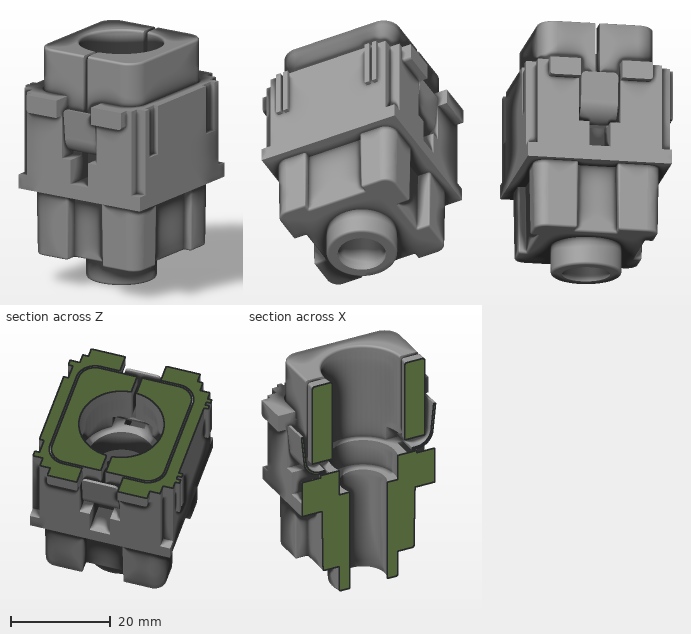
import cadquery as cq
import math

total_height = 49.0
collar_top = 40.05
collar_bottom = 19.5
body_bottom = 5.7
corner_ledge = 22.45
rib_bottom = 29.95
tab_bottom = 36.4
notch_floor = 27.5
window_bottom = 28.05
window_top = 31.05
edge_round = 0.5

collar_x = 29.4
collar_y = 30.1
corner_notch = 2.05
rib_width = 1.0
rib_depth = 0.9
pocket_depth = 1.0
rib_offsets = (9.2, 10.85)
pocket_inner_y = 8.55
pocket_outer_y = 11.6
tab_depth = 1.95
front_tab_reach = 11.45
back_tab_reach = 10.5
tab_round = 0.6

arrow_x = 7.35
arrow_base_y = 14.6
arrow_width = 1.65
arrow_length = 1.95
arrow_depth = 0.2

plug_x = 23.6
plug_y = 25.5
plug_corner = 3.55
moat_width = 0.35
moat_depth = 1.95
slit_width = 1.0

bore_radius = 8.55
seat_radius = 7.0
hole_radius = 4.85
seat_height = 22.45

clip_width = 7.5
clip_top = 37.9
clip_thickness = 0.55
clip_bend_y = 10.95
clip_bend_z = 32.1
clip_bend_radius = 3.7
clip_lean = 0.6
clip_foot_y = 9.8
clip_corner = 0.9
notch_width = 8.5
keyway_width = 4.25
keyway_back_y = 8.8

body_x = 25.65
body_y = 26.55
body_corner = 2.7
body_draft = 1.0
front_recess_width = 8.05
front_recess_depth = 2.7
side_recess_width = 12.15
side_recess_depth = 1.6
stub_radius = 7.1
body_round = 0.45


def block(x_min, x_max, y_min, y_max, z_min, z_max):
    """Box given by its limits along each axis."""
    size = (x_max - x_min, y_max - y_min, z_max - z_min)
    return cq.Workplane("XY").box(*size, centered=False).translate((x_min, y_min, z_min))


def centred_block(width, depth, z_min, z_max):
    """Box centred on the Z axis."""
    return block(-width / 2, width / 2, -depth / 2, depth / 2, z_min, z_max)


def rounded_block(width, depth, corner, z_min, z_max):
    """Centred box with rounded vertical edges."""
    return centred_block(width, depth, z_min, z_max).edges("|Z").fillet(corner)


def cylinder(radius, z_min, z_max):
    return cq.Workplane("XY").workplane(offset=z_min).circle(radius).extrude(z_max - z_min)


def make_collar():
    """Rectangular collar with notched corners, side ribs and side pockets."""
    half_x = collar_x / 2
    half_y = collar_y / 2
    collar = centred_block(collar_x, collar_y, collar_bottom, collar_top)
    notches = (
        cq.Workplane("XY").workplane(offset=corner_ledge)
        .rect(collar_x - corner_notch, collar_y - corner_notch, forConstruction=True).vertices()
        .rect(corner_notch, corner_notch).extrude(collar_top - corner_ledge)
    )
    collar = collar.cut(notches)
    for side in (-1, 1):
        for offset in rib_offsets:
            y = side * offset
            collar = collar.union(block(
                -half_x - rib_depth, -half_x, y - rib_width / 2, y + rib_width / 2, rib_bottom, collar_top))
        y_min, y_max = sorted((side * pocket_inner_y, side * pocket_outer_y))
        collar = collar.cut(block(half_x - pocket_depth, half_x, y_min, y_max, rib_bottom, collar_top))
    for side, reach in ((-1, front_tab_reach), (1, back_tab_reach)):
        y_min, y_max = sorted((side * half_y, side * (half_y + tab_depth)))
        tabs = block(-reach, reach, y_min, y_max, tab_bottom, collar_top)
        tabs = tabs.edges("|Y and <Z").fillet(tab_round)
        collar = collar.union(tabs)
    return collar


def make_moat():
    """Narrow ring-shaped gap between the plug and the collar."""
    moat_x = plug_x + 2 * moat_width
    moat_y = plug_y + 2 * moat_width
    floor = collar_top - moat_depth
    outside = rounded_block(moat_x, moat_y, plug_corner + moat_width, floor, collar_top)
    return outside.cut(rounded_block(plug_x, plug_y, plug_corner, floor, collar_top))


def make_lower_body():
    """Drafted body with a recess in the middle of each side, and the round stub below it."""
    half_x = body_x / 2
    half_y = body_y / 2
    body_height = collar_bottom - body_bottom
    profile = rounded_block(body_x, body_y, body_corner, body_bottom, collar_bottom)
    for side in (-1, 1):
        front_recess = centred_block(front_recess_width, 2 * front_recess_depth, body_bottom, collar_bottom)
        side_recess = centred_block(2 * side_recess_depth, side_recess_width, body_bottom, collar_bottom)
        profile = profile.cut(front_recess.translate((0, side * half_y, 0)))
        profile = profile.cut(side_recess.translate((side * half_x, 0, 0)))
    mouths = [(sx * front_recess_width / 2, sy * half_y) for sx in (-1, 1) for sy in (-1, 1)]
    mouths += [(sx * half_x, sy * side_recess_width / 2) for sx in (-1, 1) for sy in (-1, 1)]
    for x, y in mouths:
        mouth_edge = cq.NearestToPointSelector((x, y, body_bottom + body_height / 2))
        profile = profile.edges(mouth_edge).fillet(edge_round)
    body = profile.faces(">Z").wires().toPending().extrude(-body_height, combine=False, taper=body_draft)
    body = body.faces("<Z").edges().fillet(body_round)
    stub = cylinder(stub_radius, 0, body_bottom).faces("<Z").edges().fillet(edge_round)
    return body.union(stub)


def make_front_openings():
    """Notch in the front of the collar, running back under the plug, with a keyway below it."""
    front = -collar_y / 2 - tab_depth
    half_notch = notch_width / 2
    half_key = keyway_width / 2
    notch = block(-half_notch, half_notch, front, -plug_y / 2, notch_floor, collar_top)
    undercut = block(-half_notch, half_notch, front, -clip_bend_y, notch_floor, window_top)
    keyway = block(-half_key, half_key, front, -keyway_back_y, corner_ledge, window_bottom)
    return notch.union(undercut).union(keyway)


def make_front_clip():
    """Bent spring clip whose foot spans the window from wall to wall."""
    outer = clip_bend_radius
    inner = clip_bend_radius - clip_thickness
    diagonal = math.sqrt(0.5)
    leaf_y = -clip_bend_y - outer

    def bend_point(radius):
        return (-clip_bend_y - radius * diagonal, clip_bend_z - radius * diagonal)

    clip = (
        cq.Workplane("YZ")
        .moveTo(leaf_y - clip_lean, clip_top)
        .lineTo(leaf_y, clip_bend_z)
        .threePointArc(bend_point(outer), (-clip_bend_y, clip_bend_z - outer))
        .lineTo(-clip_foot_y, clip_bend_z - outer)
        .lineTo(-clip_foot_y, clip_bend_z - inner)
        .lineTo(-clip_bend_y, clip_bend_z - inner)
        .threePointArc(bend_point(inner), (leaf_y + clip_thickness, clip_bend_z))
        .lineTo(leaf_y - clip_lean + clip_thickness, clip_top)
        .close()
        .extrude(clip_width / 2, both=True)
    )
    clip = clip.faces(">Z").edges("|Y").fillet(clip_corner)
    foot = block(-notch_width / 2, notch_width / 2, -clip_bend_y, -clip_foot_y,
                 clip_bend_z - outer, clip_bend_z - inner)
    return clip.union(foot)


def make_bore():
    """Volume of the stepped through bore."""
    bore = cylinder(bore_radius, window_bottom, total_height)
    bore = bore.union(cylinder(seat_radius, seat_height, window_bottom))
    return bore.union(cylinder(hole_radius, 0, seat_height))


def make_plug():
    """Bored plug with its outer top edge and the mouth of the bore rounded."""
    plug = rounded_block(plug_x, plug_y, plug_corner, collar_bottom, total_height).cut(make_bore())
    return plug.faces(">Z").edges().fillet(edge_round)


def make_arrow(x):
    """Triangular mark pointing toward the back edge of a tab."""
    return (
        cq.Workplane("XY").workplane(offset=collar_top - arrow_depth)
        .moveTo(x - arrow_width / 2, arrow_base_y)
        .lineTo(x + arrow_width / 2, arrow_base_y)
        .lineTo(x, arrow_base_y + arrow_length)
        .close()
        .extrude(arrow_depth)
    )


part = make_collar().cut(make_moat()).union(make_lower_body()).cut(make_bore())
part = part.union(make_plug())

front_openings = make_front_openings()
part = part.cut(front_openings).cut(front_openings.mirror("XZ"))
part = part.cut(centred_block(notch_width, plug_y, window_bottom, window_top))
part = part.cut(centred_block(slit_width, plug_y, window_bottom, total_height))

front_clip = make_front_clip()
part = part.union(front_clip).union(front_clip.mirror("XZ"))

for x in (-arrow_x, arrow_x):
    part = part.cut(make_arrow(x))

result = part